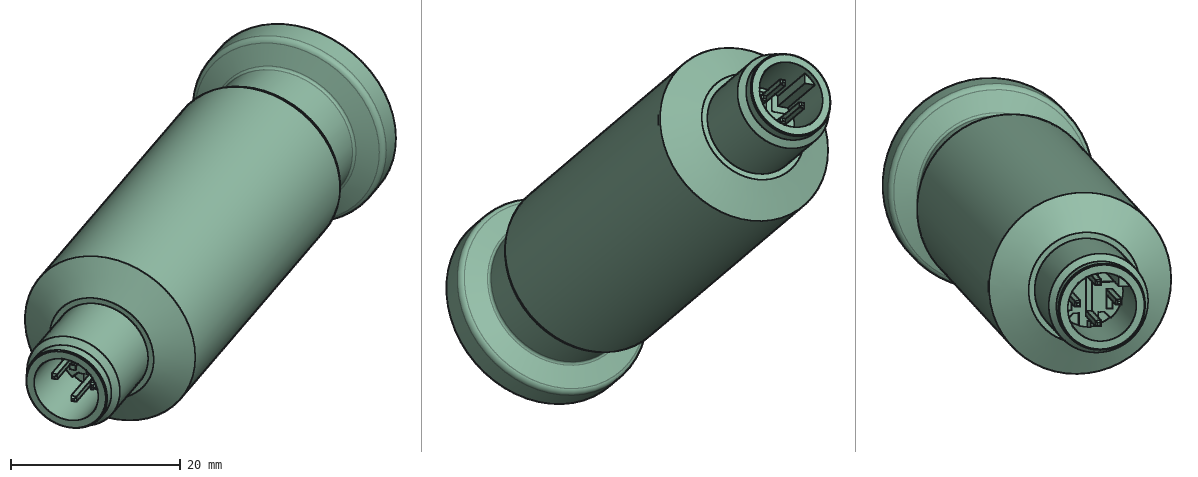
import cadquery as cq
import math

length = 68.9

flange_radius = 24.9 / 2
flange_rim = 2.95
flange_round = 0.8
flange_slope = math.radians(19)

neck_radius = 18.0 / 2
neck_fillet = 0.4

body_radius = 22.0 / 2
body_end_radius = 21.7 / 2
body_end_y = length - 12.8
body_end_chamfer = 0.4
body_front_y = 12.95
nose_y = 10.5
nose_radius = 13.45 / 2

flat_width = 1.25
flat_length = 0.5

plug_radius = 12.0 / 2
plug_end_y = 2.15
tip_radius = 10.5 / 2
tip_chamfer = 0.15
tip_y = plug_end_y - (plug_radius - tip_radius)
bore_radius = 8.3 / 2
bore_depth = 8.3

pad_height = 0.4
stem_half_width = 1.2
stem_top = 3.45
arm_top = 1.2
notch_top = -2.4
notch_half_width = 1.85
pad_corner_fillet = 0.3
notch_slant = 1.4

pin_width = 0.7
pin_tip_width = 0.35
pin_tip_length = 0.35
pin_circle_radius = 2.5
pin_recess = 1.9
strip_height = 0.3
side_strip_length = 2.0

corner_key = 2.2
corner_key_recess = 0.8
small_key_width = 0.35
small_key_top = -3.4

floor_y = bore_depth
pad_y = floor_y - pad_height
strip_y = pad_y - strip_height


def prism(sketch, near_y, far_y):
    """Extrude an X-Z outline from near_y to far_y along +Y."""
    return sketch.extrude(near_y - far_y).translate((0, near_y, 0))


def box(x_min, x_max, z_min, z_max, near_y, far_y):
    size = (x_max - x_min, far_y - near_y, z_max - z_min)
    return cq.Workplane("XY").box(*size, centered=False).translate((x_min, near_y, z_min))


def bore_fill(near_y, far_y):
    return prism(cq.Workplane("XZ").circle(bore_radius), near_y, far_y)


def turned_body():
    """Flange, neck, body and hollow plug as one turned profile."""
    rim_y = length - flange_rim
    turn = math.pi / 2 - flange_slope
    centre_radius = flange_radius - flange_round
    round_mid = (centre_radius + flange_round * math.cos(turn / 2), rim_y - flange_round * math.sin(turn / 2))
    round_end = (centre_radius + flange_round * math.cos(turn), rim_y - flange_round * math.sin(turn))
    slope_end_y = round_end[1] - (round_end[0] - neck_radius) * math.tan(flange_slope)

    fillet_setback = neck_fillet * math.tan(turn / 2)
    fillet_centre = (neck_radius + neck_fillet, slope_end_y - fillet_setback)
    slope_foot = (
        neck_radius + fillet_setback * math.cos(flange_slope),
        slope_end_y + fillet_setback * math.sin(flange_slope),
    )
    fillet_mid = (
        fillet_centre[0] - neck_fillet * math.cos(turn / 2),
        fillet_centre[1] + neck_fillet * math.sin(turn / 2),
    )

    lower_mid = neck_fillet * (1 - math.sqrt(0.5))

    profile = (
        cq.Workplane("XY")
        .moveTo(0, length)
        .lineTo(flange_radius, length)
        .lineTo(flange_radius, rim_y)
        .threePointArc(round_mid, round_end)
        .lineTo(*slope_foot)
        .threePointArc(fillet_mid, (neck_radius, fillet_centre[1]))
        .lineTo(neck_radius, body_end_y + neck_fillet)
        .threePointArc(
            (neck_radius + lower_mid, body_end_y + lower_mid),
            (neck_radius + neck_fillet, body_end_y),
        )
        .lineTo(body_end_radius, body_end_y)
        .lineTo(body_radius, body_end_y - body_end_chamfer)
        .lineTo(body_radius, body_front_y)
        .lineTo(nose_radius, nose_y)
        .lineTo(plug_radius, nose_y)
        .lineTo(plug_radius, plug_end_y)
        .lineTo(tip_radius, tip_y)
        .lineTo(tip_radius, tip_chamfer)
        .lineTo(tip_radius - tip_chamfer, 0)
        .lineTo(bore_radius, 0)
        .lineTo(bore_radius, floor_y)
        .lineTo(0, floor_y)
        .close()
    )
    return profile.revolve(360, (0, 0, 0), (0, 1, 0))


def index_flat():
    """Cutter for the small chordal flat on the body."""
    flat_x = -math.sqrt(body_radius**2 - (flat_width / 2) ** 2)
    return box(-body_radius, flat_x, -flat_width / 2, flat_width / 2, nose_y, body_front_y + flat_length)


def insulator_pad():
    """T-shaped pad: a stem between two corner recesses and two notches below the arms."""
    outline = cq.Workplane("XZ").polyline([
        (-bore_radius, -bore_radius),
        (bore_radius, -bore_radius),
        (bore_radius, arm_top),
        (stem_half_width, arm_top),
        (stem_half_width, stem_top),
        (-stem_half_width, stem_top),
        (-stem_half_width, arm_top),
        (-bore_radius, arm_top),
    ]).close()
    pad = prism(outline, pad_y, floor_y)
    inner_corners = cq.selectors.BoxSelector(
        (-bore_radius / 2, pad_y, 0),
        (bore_radius / 2, floor_y, (arm_top + stem_top) / 2),
    )
    pad = pad.edges("|Y").edges(inner_corners).fillet(pad_corner_fillet)
    notch = prism(
        cq.Workplane("XZ").polyline([
            (stem_half_width, notch_top),
            (notch_half_width, notch_top),
            (notch_half_width + notch_slant, notch_top - notch_slant),
            (notch_half_width + notch_slant, -bore_radius),
            (stem_half_width, -bore_radius),
        ]).close(),
        pad_y,
        floor_y,
    )
    return pad.cut(notch).cut(notch.mirror("YZ")).intersect(bore_fill(pad_y, floor_y))


def contact_strips():
    """A long strip joins the upper and lower pins; a short one hangs below each side pin."""
    half_width = pin_width / 2
    strips = box(-half_width, half_width, -pin_circle_radius, pin_circle_radius, strip_y, pad_y)
    for x in (-pin_circle_radius, pin_circle_radius):
        strips = strips.union(box(x - half_width, x + half_width, -side_strip_length, 0, strip_y, pad_y))
    return strips


def contact_pin(x, z):
    """Square pin with a pyramidal tip."""
    shoulder_y = pin_recess + pin_tip_length
    shaft = prism(cq.Workplane("XZ").rect(pin_width, pin_width), shoulder_y, floor_y)
    tip = (
        cq.Workplane("XZ")
        .rect(pin_tip_width, pin_tip_width)
        .workplane(offset=-pin_tip_length)
        .rect(pin_width, pin_width)
        .loft(ruled=True)
        .translate((0, pin_recess, 0))
    )
    return shaft.union(tip).translate((x, 0, z))


def coding_keys():
    corner = box(corner_key, bore_radius, corner_key, bore_radius, corner_key_recess, floor_y)
    small = box(-small_key_width / 2, small_key_width / 2, -bore_radius, small_key_top, strip_y, floor_y)
    return corner.union(small).intersect(bore_fill(0, floor_y))


result = turned_body().cut(index_flat())
result = result.union(insulator_pad()).union(contact_strips()).union(coding_keys())
for quarter in range(4):
    angle = quarter * math.pi / 2
    pin_x = pin_circle_radius * math.cos(angle)
    pin_z = pin_circle_radius * math.sin(angle)
    result = result.union(contact_pin(pin_x, pin_z))